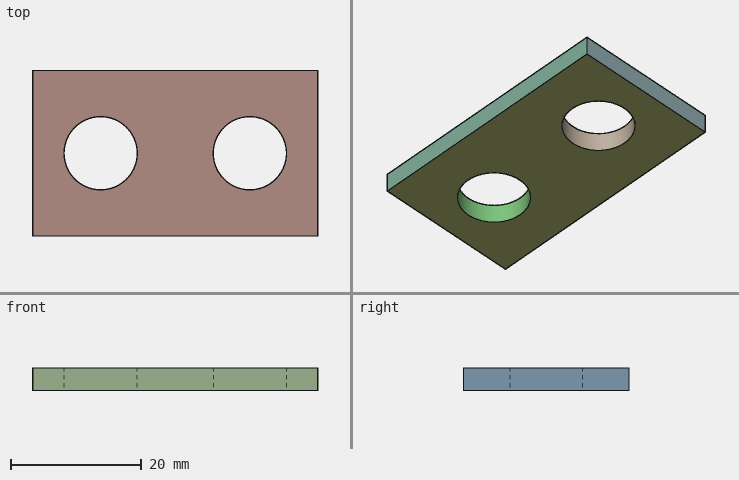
import cadquery as cq

length = 43.7
width = 25.4
thickness = 3.5

hole_diameter = 11.2
hole_spacing = 22.85

plate = cq.Workplane("XY").box(length, width, thickness)

hole_centers = [(-hole_spacing / 2, 0), (hole_spacing / 2, 0)]
result = plate.faces(">Z").workplane().pushPoints(hole_centers).hole(hole_diameter)